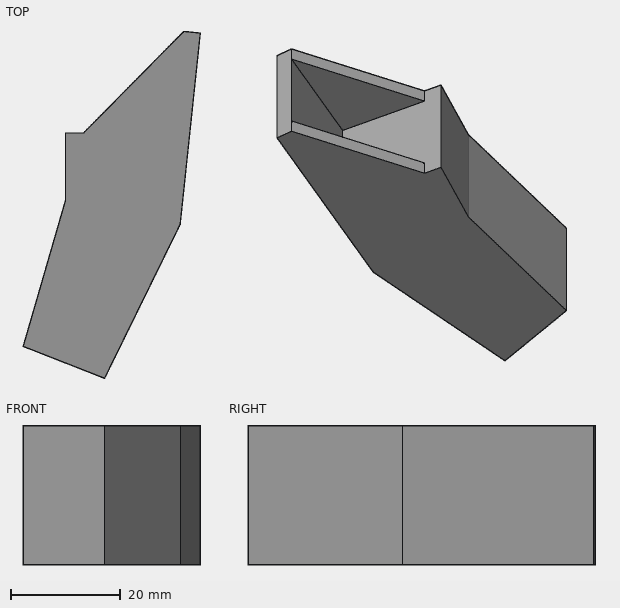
import cadquery as cq

length = 63.35
height = 25.4
width = 32.4

wall_thickness = 3.15
slot_height = height - 2 * wall_thickness

shoulder_x = 7.7
shoulder_y = 44.8
shoulder_width = 3.3

tip_x = 29.35
tip_corner_y = 63.05

butt_corner = (14.9, 0)
butt_side_y = 5.8
inner_bend_y = 32.5
outer_bend = (28.7, 28.15)

outer_slope = (width - outer_bend[0]) / (tip_corner_y - outer_bend[1])
slot_floor_x = tip_x - outer_slope * (length - shoulder_y)

outline = [
    butt_corner,
    outer_bend,
    (width, tip_corner_y),
    (tip_x, length),
    (shoulder_x + shoulder_width, shoulder_y),
    (shoulder_x, shoulder_y),
    (shoulder_x, inner_bend_y),
    (0, butt_side_y),
]
body = cq.Workplane("XY").polyline(outline).close().extrude(height)

slot_outline = [
    (shoulder_x, shoulder_y),
    (slot_floor_x, shoulder_y),
    (tip_x, length),
    (shoulder_x, length),
]
slot = (
    cq.Workplane("XY", origin=(0, 0, wall_thickness))
    .polyline(slot_outline)
    .close()
    .extrude(slot_height)
)

result = body.cut(slot)